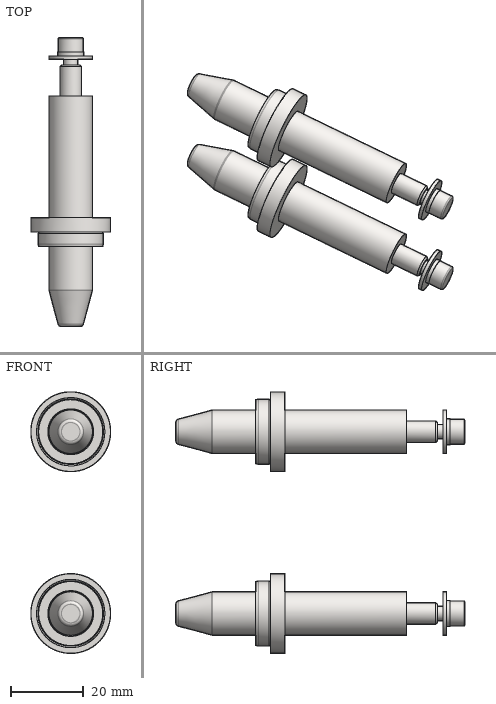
import cadquery as cq
import math

SET_SPACING = 50.0

PIN_DIAMETER = 12.0
PIN_BODY_END = 63.5
TAPER_LENGTH = 10.0
TAPER_ANGLE = math.radians(15.0)
TAPER_BLEND_RADIUS = 1.0
TAIL_DIAMETER = 6.0
TAIL_END = 72.0
TAIL_CHAMFER = 0.5

FLANGE_DIAMETER = 22.0
FLANGE_THICKNESS = 4.0
BOSS_DIAMETER = 18.0
BOSS_LENGTH = 4.0
BOSS_START = 22.0
BOSS_LEAD_IN_LENGTH = 0.7
BOSS_LEAD_IN_ANGLE = math.radians(15.0)
BORE_RECESS_DIAMETER = 12.6
BORE_RECESS_DEPTH = 1.0
UNDERCUT_WIDTH = 0.4
UNDERCUT_WALL_ANGLE = math.radians(30.0)

SCREW_DIAMETER = 4.0
SCREW_LENGTH = 12.0
HEAD_DIAMETER = 7.0
HEAD_HEIGHT = 4.0
HEAD_EDGE_RADIUS = 0.4
SPRING_WASHER_DIAMETER = 7.2
SPRING_WASHER_THICKNESS = 1.0
PLAIN_WASHER_DIAMETER = 12.0
PLAIN_WASHER_THICKNESS = 1.0

OVERALL_LENGTH = 79.5
HEAD_SEAT = OVERALL_LENGTH - HEAD_HEIGHT
SCREW_END = HEAD_SEAT - SCREW_LENGTH
SPRING_WASHER_START = HEAD_SEAT - SPRING_WASHER_THICKNESS
PLAIN_WASHER_START = SPRING_WASHER_START - PLAIN_WASHER_THICKNESS


def disc(diameter, start, length):
    """Cylinder about the Y axis, from y = start to y = start + length."""
    return cq.Workplane("XZ", origin=(0, start, 0)).circle(diameter / 2).extrude(-length)


def make_pin():
    """Stepped pin with a blended taper at its tip and a blind screw hole in its tail."""
    radius = PIN_DIAMETER / 2
    tip_radius = radius - TAPER_LENGTH * math.tan(TAPER_ANGLE)
    tail_radius = TAIL_DIAMETER / 2
    pin = (
        cq.Workplane("XY")
        .polyline(
            [
                (0, 0),
                (tip_radius, 0),
                (radius, TAPER_LENGTH),
                (radius, PIN_BODY_END),
                (tail_radius, PIN_BODY_END),
                (tail_radius, TAIL_END - TAIL_CHAMFER),
                (tail_radius - TAIL_CHAMFER, TAIL_END),
                (0, TAIL_END),
            ]
        )
        .close()
        .revolve(360, (0, 0, 0), (0, 1, 0))
    )
    margin = TAPER_BLEND_RADIUS
    taper_edges = cq.selectors.BoxSelector(
        (-radius, -margin, -radius), (radius, TAPER_LENGTH + margin, radius)
    )
    pin = pin.edges("%CIRCLE").edges(taper_edges).fillet(TAPER_BLEND_RADIUS)
    return pin.cut(disc(SCREW_DIAMETER, SCREW_END, TAIL_END - SCREW_END))


def make_bush():
    """Flanged bush with a boss lead-in, a recessed bore mouth and an undercut at the flange face."""
    bore_radius = PIN_DIAMETER / 2
    recess_radius = BORE_RECESS_DIAMETER / 2
    boss_radius = BOSS_DIAMETER / 2
    lead_in_depth = BOSS_LEAD_IN_LENGTH * math.tan(BOSS_LEAD_IN_ANGLE)
    flange_radius = FLANGE_DIAMETER / 2
    flange_face = BOSS_START + BOSS_LENGTH
    flange_back = flange_face + FLANGE_THICKNESS
    wall_slope = math.tan(UNDERCUT_WALL_ANGLE)
    undercut_depth = UNDERCUT_WIDTH * wall_slope / (1 - wall_slope)
    return (
        cq.Workplane("XY")
        .moveTo(recess_radius, BOSS_START)
        .lineTo(boss_radius - lead_in_depth, BOSS_START)
        .lineTo(boss_radius, BOSS_START + BOSS_LEAD_IN_LENGTH)
        .lineTo(boss_radius, flange_face - UNDERCUT_WIDTH)
        .lineTo(boss_radius - undercut_depth, flange_face + undercut_depth)
        .lineTo(boss_radius + UNDERCUT_WIDTH, flange_face)
        .lineTo(flange_radius, flange_face)
        .lineTo(flange_radius, flange_back)
        .lineTo(bore_radius, flange_back)
        .lineTo(bore_radius, BOSS_START + BORE_RECESS_DEPTH)
        .lineTo(recess_radius, BOSS_START + BORE_RECESS_DEPTH)
        .close()
        .revolve(360, (0, 0, 0), (0, 1, 0))
    )


def make_screw():
    """Screw with a plain cylindrical head whose outer end is rounded."""
    head = disc(HEAD_DIAMETER, HEAD_SEAT, HEAD_HEIGHT).faces(">Y").edges().fillet(HEAD_EDGE_RADIUS)
    return head.union(disc(SCREW_DIAMETER, SCREW_END, SCREW_LENGTH))


def make_washer(diameter, start, thickness):
    """Flat ring that fits on the screw shank."""
    return disc(diameter, start, thickness).cut(disc(SCREW_DIAMETER, start, thickness))


def make_spring_washer():
    """Small spring washer directly under the screw head."""
    return make_washer(SPRING_WASHER_DIAMETER, SPRING_WASHER_START, SPRING_WASHER_THICKNESS)


def make_plain_washer():
    """Wide plain washer next to the spring washer."""
    return make_washer(PLAIN_WASHER_DIAMETER, PLAIN_WASHER_START, PLAIN_WASHER_THICKNESS)


bodies = []
for set_height in (-SET_SPACING / 2, SET_SPACING / 2):
    for make_body in (make_pin, make_bush, make_screw, make_spring_washer, make_plain_washer):
        bodies.append(make_body().translate((0, 0, set_height)).solids().val())

result = cq.Compound.makeCompound(bodies)